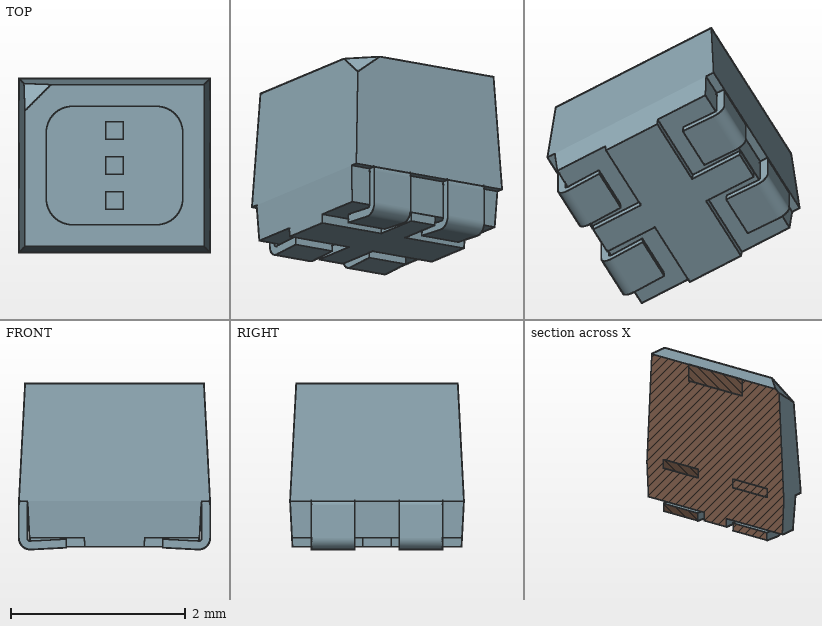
import cadquery as cq
import math

total_length = 2.2
total_height = 1.91
draft_angle = 3.0

parting_height = 0.559
upper_length = 2.198
base_length = 2.0
housing_width = 2.0
base_bottom = 0.033
step_height = 0.135
rib_length = 0.695
rib_draft = 5.0
tongue_width = 0.325
tongue_inset = 0.005
corner_cut = 0.3
corner_cut_depth = 0.23

lens_length = 1.566
lens_width = 1.36
lens_corner_radius = 0.3
chip_size = 0.2
chip_count = 3
chip_pitch = 0.4
lens_depth = chip_size

strap_thickness = 0.1
strap_width = 0.5
strap_pitch = 1.008
strap_top = 0.645
bend_radius = 0.135
foot_tilt = 3.0
foot_tip = 0.559

upper_height = total_height - parting_height
draft_slope = math.tan(math.radians(draft_angle))
strap_offsets = [-strap_pitch / 2, strap_pitch / 2]
chip_offsets = [(i - (chip_count - 1) / 2) * chip_pitch for i in range(chip_count)]


def make_strap(y_center):
    """C-shaped strip through the housing, both ends folded under it as feet."""
    inner_radius = bend_radius - strap_thickness
    bend_x = -total_length / 2 + bend_radius
    upper_z = strap_top - bend_radius
    lower_z = bend_radius
    tilt = math.radians(foot_tilt)
    foot_length = (-foot_tip - bend_x) / math.cos(tilt)

    def on_bend(center_z, radius, degrees):
        angle = math.radians(degrees)
        return (bend_x + radius * math.cos(angle), center_z + radius * math.sin(angle))

    def foot_end(radius):
        x, z = on_bend(lower_z, radius, 270 + foot_tilt)
        return (x + foot_length * math.cos(tilt), z + foot_length * math.sin(tilt))

    half = (
        cq.Workplane("XZ", origin=(0, y_center + strap_width / 2, 0))
        .moveTo(0, strap_top)
        .lineTo(*on_bend(upper_z, bend_radius, 90))
        .threePointArc(on_bend(upper_z, bend_radius, 135), on_bend(upper_z, bend_radius, 180))
        .lineTo(*on_bend(lower_z, bend_radius, 180))
        .threePointArc(on_bend(lower_z, bend_radius, 225), on_bend(lower_z, bend_radius, 270 + foot_tilt))
        .lineTo(*foot_end(bend_radius))
        .lineTo(*foot_end(inner_radius))
        .lineTo(*on_bend(lower_z, inner_radius, 270 + foot_tilt))
        .threePointArc(on_bend(lower_z, inner_radius, 225), on_bend(lower_z, inner_radius, 180))
        .lineTo(*on_bend(upper_z, inner_radius, 180))
        .threePointArc(on_bend(upper_z, inner_radius, 135), on_bend(upper_z, inner_radius, 90))
        .lineTo(0, strap_top - strap_thickness)
        .close()
        .extrude(strap_width)
    )
    return half.union(half.mirror("YZ"))


def make_chip(y_center):
    """Cube with its top in the top face."""
    return (
        cq.Workplane("XY", origin=(0, y_center, total_height))
        .rect(chip_size, chip_size)
        .extrude(-chip_size)
    )


def make_lens_blank():
    """Rounded block filling the recess, before the chips are taken out."""
    return (
        cq.Workplane("XY", origin=(0, 0, total_height))
        .rect(lens_length, lens_width)
        .extrude(-lens_depth)
        .edges("|Z")
        .fillet(lens_corner_radius)
    )


def make_upper():
    """Upper block, narrowing toward the top, with the polarity corner cut off."""
    block = (
        cq.Workplane("XY", origin=(0, 0, parting_height))
        .rect(upper_length, housing_width)
        .extrude(upper_height, taper=draft_angle)
    )
    top_x = upper_length / 2 - upper_height * draft_slope
    top_y = housing_width / 2 - upper_height * draft_slope
    corner_run = corner_cut + 2 * corner_cut_depth * draft_slope
    cut_plane = cq.Plane(
        origin=(-top_x + corner_cut / 2, top_y - corner_cut / 2, total_height),
        xDir=(1, 1, 0),
        normal=(-1, 1, corner_run / corner_cut_depth),
    )
    cutter_side = 4 * corner_cut
    cutter = cq.Workplane(cut_plane).rect(cutter_side, cutter_side).extrude(corner_cut)
    return block.cut(cutter)


def make_base():
    """Lower block, narrowing downward, standing on a cross of rib and tongues."""
    def lower_block(length, top, bottom):
        """Slice of a block that tapers downward from the parting level."""
        inset = 2 * (parting_height - top) * draft_slope
        return (
            cq.Workplane("XY", origin=(0, 0, top))
            .rect(length - inset, housing_width - inset)
            .extrude(bottom - top, taper=draft_angle)
        )

    body = lower_block(base_length, parting_height, step_height)
    foot_height = step_height - base_bottom
    rib_bottom_length = rib_length - 2 * foot_height * math.tan(math.radians(rib_draft))
    rib = (
        cq.Workplane("XZ", origin=(0, housing_width / 2, 0))
        .moveTo(-rib_length / 2, step_height)
        .lineTo(rib_length / 2, step_height)
        .lineTo(rib_bottom_length / 2, base_bottom)
        .lineTo(-rib_bottom_length / 2, base_bottom)
        .close()
        .extrude(housing_width)
    )
    tongues = (
        cq.Workplane("XY", origin=(0, 0, base_bottom))
        .rect(base_length, tongue_width)
        .extrude(foot_height)
    )
    rib_envelope = lower_block(base_length, step_height, base_bottom)
    tongue_envelope = lower_block(base_length - 2 * tongue_inset, step_height, base_bottom)
    return body.union(rib.intersect(rib_envelope)).union(tongues.intersect(tongue_envelope))


straps = [make_strap(y) for y in strap_offsets]
chips = [make_chip(y) for y in chip_offsets]
lens_blank = make_lens_blank()

lens = lens_blank
for chip in chips:
    lens = lens.cut(chip)

housing = make_upper().union(make_base()).cut(lens_blank)
for strap in straps:
    housing = housing.cut(strap)

bodies = [housing, lens, *chips, *straps]
result = cq.Compound.makeCompound([body.solids().val() for body in bodies])